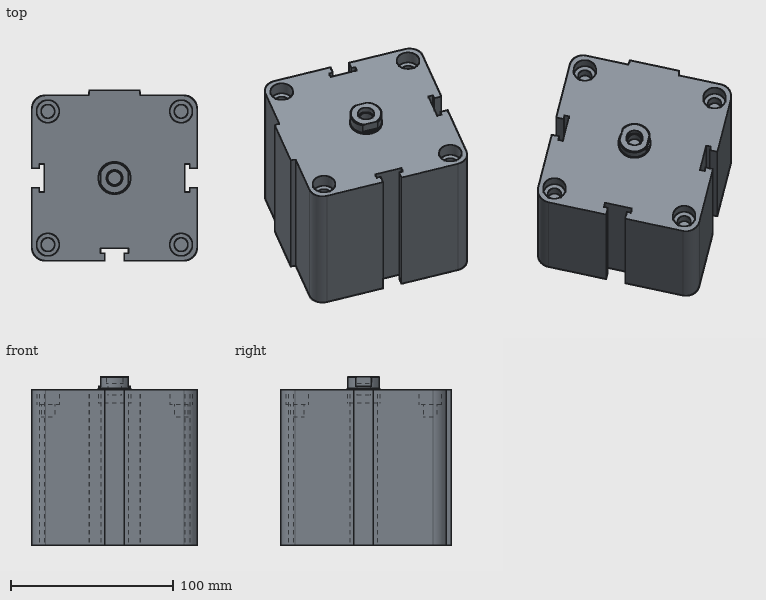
import cadquery as cq

WIDTH = 102.0
HEIGHT = 96.0
CORNER_RADIUS = 8.5

RIB_DEPTH = 3.0
RIB_TIP_WIDTH = 31.1
RIB_ROOT_WIDTH = 31.9

SLOT_MOUTH_WIDTH = 12.0
SLOT_HEAD_WIDTH = 17.0
SLOT_LIP = 4.7
SLOT_DEPTH = 7.7

HOLE_SPACING = 82.0
BORE_DIAMETER = 8.4
COUNTERBORE_DIAMETER = 14.0
COUNTERBORE_DEPTH = 9.0
BORE_DEPTH = 16.8

ROD_RISE = 8.0
SOCKET_DEPTH = 8.0
COLLAR_DIAMETER = 20
COLLAR_RISE = 0.9
COLLAR_BEVEL_HEIGHT = 0.5
ROD_DIAMETER = 19.5
ROD_CHAMFER = 0.5
FLAT_WIDTH = 17.0
FLAT_START = 1.9
THREAD_DIAMETER = 10.0
THREAD_RECESS_DEPTH = 4.0
PILOT_DIAMETER = 8.4
PILOT_DEPTH = 11.0

HALF_WIDTH = WIDTH / 2


def t_slot(angle):
    """T-shaped cutter on the front face, turned about Z to another face."""
    mouth_x = SLOT_MOUTH_WIDTH / 2
    head_x = SLOT_HEAD_WIDTH / 2
    lip_y = SLOT_LIP - HALF_WIDTH
    floor_y = SLOT_DEPTH - HALF_WIDTH
    return (
        cq.Workplane("XY")
        .polyline([
            (-mouth_x, -HALF_WIDTH),
            (mouth_x, -HALF_WIDTH),
            (mouth_x, lip_y),
            (head_x, lip_y),
            (head_x, floor_y),
            (-head_x, floor_y),
            (-head_x, lip_y),
            (-mouth_x, lip_y),
        ])
        .close()
        .extrude(HEIGHT)
        .rotate((0, 0, 0), (0, 0, 1), angle)
    )


def back_rib():
    """Full-height rib on the back face, narrowing towards its tip."""
    return (
        cq.Workplane("XY")
        .polyline([
            (-RIB_ROOT_WIDTH / 2, HALF_WIDTH),
            (RIB_ROOT_WIDTH / 2, HALF_WIDTH),
            (RIB_TIP_WIDTH / 2, HALF_WIDTH + RIB_DEPTH),
            (-RIB_TIP_WIDTH / 2, HALF_WIDTH + RIB_DEPTH),
        ])
        .close()
        .extrude(HEIGHT)
    )


def make_housing():
    """Rounded block with a rib, three T-slots, corner holes and a rod socket."""
    block = (
        cq.Workplane("XY")
        .rect(WIDTH, WIDTH)
        .extrude(HEIGHT)
        .edges("|Z")
        .fillet(CORNER_RADIUS)
        .union(back_rib())
    )
    for angle in (-90, 0, 90):
        block = block.cut(t_slot(angle))
    block = (
        block.faces(">Z")
        .workplane(origin=(0, 0, HEIGHT))
        .rect(HOLE_SPACING, HOLE_SPACING, forConstruction=True)
        .vertices()
        .cboreHole(BORE_DIAMETER, COUNTERBORE_DIAMETER, COUNTERBORE_DEPTH, BORE_DEPTH)
    )
    return (
        block.faces(">Z")
        .workplane(origin=(0, 0, HEIGHT))
        .hole(COLLAR_DIAMETER, SOCKET_DEPTH)
    )


def flat_cutter(side):
    """Block that trims one wrench flat; side is -1 for -X and +1 for +X."""
    cutter_x = side * (FLAT_WIDTH + COLLAR_DIAMETER) / 2
    return (
        cq.Workplane("XY", origin=(cutter_x, 0, HEIGHT + FLAT_START))
        .rect(COLLAR_DIAMETER, COLLAR_DIAMETER)
        .extrude(ROD_RISE - FLAT_START)
    )


def make_rod():
    """Rod seated in the housing, with a bevelled collar, two wrench flats and a stepped blind hole."""
    collar_length = SOCKET_DEPTH + COLLAR_RISE
    collar_step = (COLLAR_DIAMETER - ROD_DIAMETER) / 2
    shank = (
        cq.Workplane("XY", origin=(0, 0, HEIGHT - SOCKET_DEPTH))
        .circle(COLLAR_DIAMETER / 2)
        .extrude(collar_length)
        .faces(">Z")
        .chamfer(COLLAR_BEVEL_HEIGHT, collar_step)
    )
    head = (
        cq.Workplane("XY", origin=(0, 0, HEIGHT + COLLAR_RISE))
        .circle(ROD_DIAMETER / 2)
        .extrude(ROD_RISE - COLLAR_RISE)
        .faces(">Z")
        .chamfer(ROD_CHAMFER)
    )
    rod = shank.union(head)
    for side in (-1, 1):
        rod = rod.cut(flat_cutter(side))
    return (
        rod.faces(">Z")
        .workplane(origin=(0, 0, HEIGHT + ROD_RISE))
        .cboreHole(PILOT_DIAMETER, THREAD_DIAMETER, THREAD_RECESS_DEPTH, PILOT_DEPTH)
    )


housing = make_housing()
rod = make_rod()

result = cq.Compound.makeCompound([housing.val(), rod.val()])